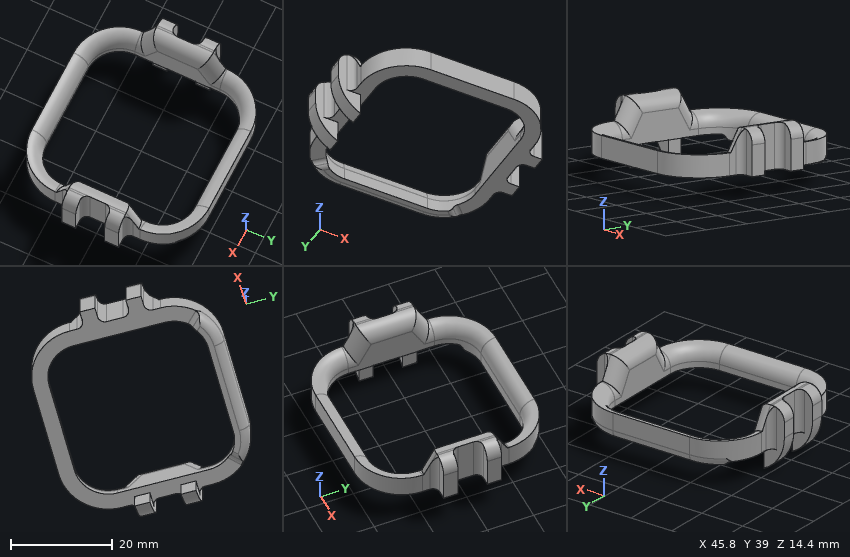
import cadquery as cq
import math

ring_side = 39.0
ring_width = 3.25
ring_height = 4.65
corner_radius = 10.15

wall_top = 9.45
wall_top_length = 12.55
wall_slope = math.radians(60)

overall_length = 45.8
tab_width = 3.1
tab_round = 2.98
tab_blend = 1.45

hook_start_height = 3.1
hook_drop = 4.95
hook_depth = 5.0

lip_drop = 1.25
lip_round = 2.0
lip_end_run = 2.1
lip_end_offset = 0.25

rounding_top = lip_round - lip_drop
half_side = ring_side / 2
half_inner = half_side - ring_width
half_length = overall_length / 2
corner_center = half_side - corner_radius
half_wall_top = wall_top_length / 2
tab_center = half_wall_top - tab_width / 2


def rounded_square(side, radius, bottom, height):
    block = cq.Workplane("XY").workplane(offset=bottom).rect(side, side).extrude(height)
    return block.edges("|Z").fillet(radius)


def frame(bottom, height):
    opening = rounded_square(2 * half_inner, corner_radius - ring_width, bottom, height)
    return rounded_square(ring_side, corner_radius, bottom, height).cut(opening)


def make_ring():
    """Ring whose whole width is rounded over to the inside along the top."""
    opening = rounded_square(2 * half_inner, corner_radius - ring_width, 0, ring_height)
    slab_side = ring_side + 2 * ring_width
    slab = cq.Workplane("XY").rect(slab_side, slab_side).extrude(ring_height).cut(opening)
    inner_edges = cq.selectors.BoxSelector(
        (-half_side, -half_side, ring_height / 2),
        (half_side, half_side, ring_height * 2),
        boundingbox=True,
    )
    rounded_slab = slab.edges(inner_edges).fillet(ring_width)
    return rounded_slab.intersect(rounded_square(ring_side, corner_radius, 0, ring_height))


def wall_block(x_start, x_end):
    """Wall outline in YZ, extruded along X; its slopes end inside the ring."""
    shoulder = wall_top - (corner_center - half_wall_top) * math.tan(wall_slope)
    return (
        cq.Workplane("YZ")
        .workplane(offset=x_start)
        .moveTo(-corner_center, 0)
        .lineTo(corner_center, 0)
        .lineTo(corner_center, shoulder)
        .lineTo(half_wall_top, wall_top)
        .lineTo(-half_wall_top, wall_top)
        .lineTo(-corner_center, shoulder)
        .close()
        .extrude(x_end - x_start)
    )


def make_wall():
    """Raised wall on the -X side, rounded along its inner top and slopes."""
    thick_wall = wall_block(-half_side - ring_width, -half_inner)
    rounded_wall = thick_wall.faces(">X").edges("not(|Z or <Z)").fillet(ring_width)
    return rounded_wall.intersect(wall_block(-half_side, -half_inner))


def tab_profile():
    """XZ outline shared by the tabs and their blends, round at the outer top."""
    corner_offset = tab_round * (1 - math.sqrt(0.5))
    return (
        cq.Workplane("XZ")
        .moveTo(-half_side, 0)
        .lineTo(-half_length, 0)
        .lineTo(-half_length, wall_top - tab_round)
        .threePointArc(
            (-half_length + corner_offset, wall_top - corner_offset),
            (-half_length + tab_round, wall_top),
        )
        .lineTo(-half_side, wall_top)
        .close()
        .extrude(half_side, both=True)
    )


def make_tab(y_center):
    """One tab on the -X side with a concave blend to the wall on each flank."""
    half_tab = tab_width / 2
    wall_x = -half_side
    blend_x = wall_x - tab_blend
    blend_offset = tab_blend * (1 - math.sqrt(0.5))
    plan = (
        cq.Workplane("XY")
        .center(0, y_center)
        .moveTo(wall_x, -half_tab - tab_blend)
        .threePointArc((wall_x - blend_offset, -half_tab - blend_offset), (blend_x, -half_tab))
        .lineTo(-half_length, -half_tab)
        .lineTo(-half_length, half_tab)
        .lineTo(blend_x, half_tab)
        .threePointArc((wall_x - blend_offset, half_tab + blend_offset), (wall_x, half_tab + tab_blend))
        .close()
        .extrude(wall_top)
    )
    return plan.intersect(tab_profile()).intersect(wall_block(-half_length, -half_side))


def make_hooked_tab(y_center):
    """Tab whose curved back runs on below the ring to a pointed hook."""
    tab = make_tab(y_center)
    tip_x = -half_length + hook_depth
    below_start = cq.Workplane("XY").box(
        half_length - half_side, tab_width, hook_start_height, centered=(False, True, False)
    ).translate((-half_length, y_center, 0))
    rise = hook_start_height + hook_drop
    back_radius = (hook_depth**2 + rise**2) / (2 * hook_depth)
    half_sweep = math.asin(rise / back_radius) / 2
    back_middle = (
        -half_length + back_radius * (1 - math.cos(half_sweep)),
        hook_start_height - back_radius * math.sin(half_sweep),
    )
    hook = (
        cq.Workplane("XZ", origin=(0, y_center, 0))
        .moveTo(-half_length, hook_start_height)
        .threePointArc(back_middle, (tip_x, -hook_drop))
        .lineTo(tip_x, 0)
        .lineTo(-half_side, 0)
        .lineTo(-half_side, hook_start_height)
        .close()
        .extrude(tab_width / 2, both=True)
    )
    return tab.cut(below_start).union(hook)


def lip_end_limit():
    """Prism along the +X +Y diagonal that keeps the lip on its +Y side.

    Its end face is an S of two equal arcs, level at the ring and at the lip bottom.
    Above z = 0 it slants back, so that the edge rounding fades out of the ring.
    """
    end_angle = 2 * math.atan2(lip_drop, lip_end_run)
    end_radius = lip_end_run / (2 * math.sin(end_angle))
    half_run = lip_end_run / 2
    arc_run = end_radius * math.sin(end_angle / 2)
    arc_drop = end_radius * (1 - math.cos(end_angle / 2))
    middle = lip_end_offset * math.sqrt(0.5)
    diagonal = cq.Plane(origin=(-middle, middle, 0), xDir=(1, -1, 0), normal=(-1, -1, 0))
    return (
        cq.Workplane(diagonal)
        .moveTo(half_run, 0)
        .threePointArc((half_run - arc_run, -arc_drop), (0, -lip_drop / 2))
        .threePointArc((arc_run - half_run, arc_drop - lip_drop), (-half_run, -lip_drop))
        .lineTo(-ring_side, -lip_drop)
        .lineTo(-ring_side, rounding_top)
        .lineTo(0, rounding_top)
        .close()
        .extrude(ring_side, both=True)
    )


def make_ring_with_lip():
    """Ring with a lip below its +Y side; the lip's outer lower edge is rounded."""
    outer = rounded_square(ring_side, corner_radius, -lip_drop, lip_drop + ring_height)
    rounded_outer = outer.faces("<Z").edges().fillet(lip_round)
    end_limit = lip_end_limit()
    lip_zone = end_limit.intersect(end_limit.mirror("YZ"))
    lip = frame(-lip_drop, lip_round).intersect(rounded_outer).intersect(lip_zone)
    above_lip = lip_zone.intersect(frame(0, rounding_top))
    return make_ring().cut(above_lip).union(lip)


result = make_ring_with_lip()
wall = make_wall()
result = result.union(wall).union(wall.mirror("YZ"))
for y_center in (-tab_center, tab_center):
    result = result.union(make_hooked_tab(y_center))
    result = result.union(make_tab(y_center).mirror("YZ"))